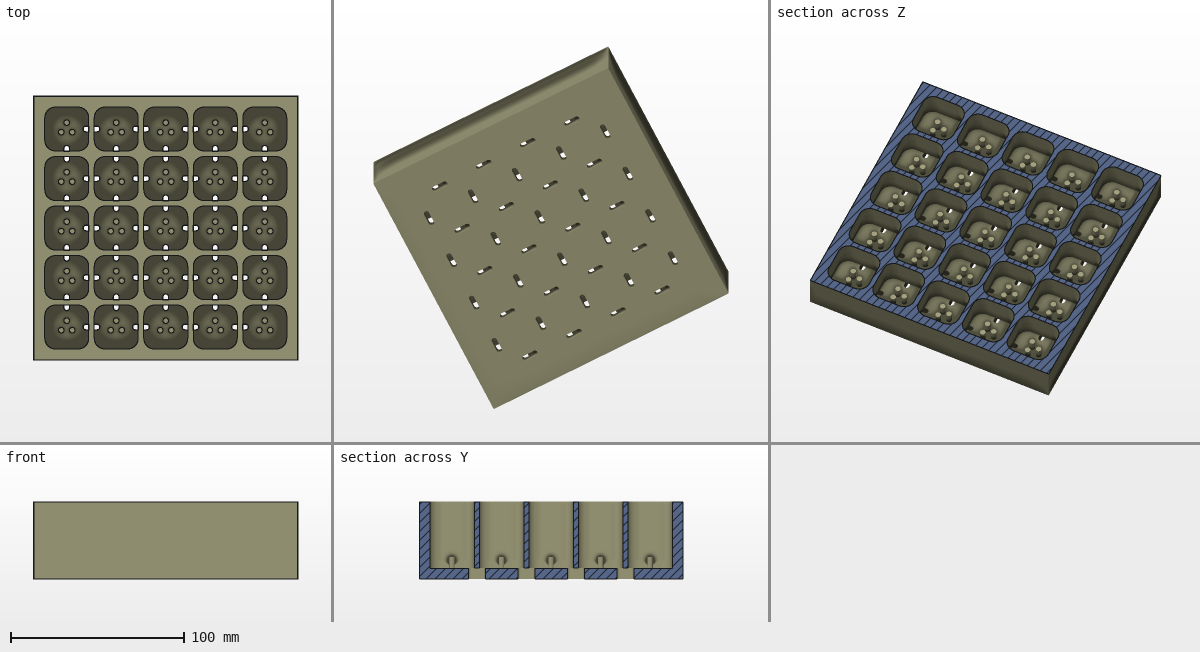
import cadquery as cq
import math

block_side = 152.4
block_height = 44.5

cells_per_side = 5
pocket_side = block_side / 6
wall_thickness = pocket_side / 8
pocket_corner_radius = pocket_side / 4
floor_thickness = pocket_side / 4
pitch = pocket_side + wall_thickness

pins_per_pocket = 3
pin_diameter = wall_thickness
pin_height = floor_thickness
pin_spacing = 2 * pin_diameter
pin_circle_radius = pin_spacing / math.sqrt(3)
first_pin_angle = 90

slot_width = wall_thickness
slot_length = 3 * wall_thickness

pocket_offsets = [(i - (cells_per_side - 1) / 2) * pitch for i in range(cells_per_side)]
wall_offsets = [offset + pitch / 2 for offset in pocket_offsets[:-1]]
pocket_centers = [(x, y) for x in pocket_offsets for y in pocket_offsets]


def make_pockets():
    return (
        cq.Workplane("XY", origin=(0, 0, floor_thickness))
        .pushPoints(pocket_centers)
        .rect(pocket_side, pocket_side)
        .extrude(block_height - floor_thickness)
        .edges("|Z")
        .fillet(pocket_corner_radius)
    )


def make_pins():
    angles = [math.radians(first_pin_angle + k * 360 / pins_per_pocket) for k in range(pins_per_pocket)]
    pin_centers = [
        (x + pin_circle_radius * math.cos(angle), y + pin_circle_radius * math.sin(angle))
        for x, y in pocket_centers
        for angle in angles
    ]
    return (
        cq.Workplane("XY", origin=(0, 0, floor_thickness))
        .pushPoints(pin_centers)
        .circle(pin_diameter / 2)
        .extrude(pin_height)
    )


def make_slots(centers, angle):
    return (
        cq.Workplane("XY")
        .pushPoints(centers)
        .slot2D(slot_length, slot_width, angle)
        .extrude(floor_thickness)
    )


block = cq.Workplane("XY").box(block_side, block_side, block_height, centered=(True, True, False))
slots_along_x = make_slots([(x, y) for x in wall_offsets for y in pocket_offsets], 0)
slots_along_y = make_slots([(x, y) for x in pocket_offsets for y in wall_offsets], 90)

result = (
    block
    .cut(make_pockets())
    .cut(slots_along_x)
    .cut(slots_along_y)
    .union(make_pins())
)